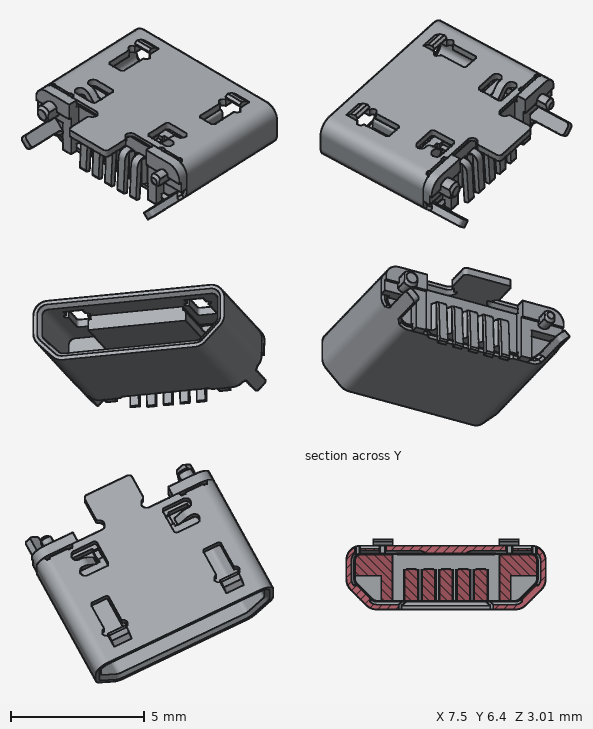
import cadquery as cq
import math


shell_width = 7.5
shell_height = 2.41
shell_length = 4.88
wall = 0.3
flank_angle = 45.0
corner_radius = 0.555
half_width = shell_width / 2
slant_top = 0.915
floor_half_width = half_width - slant_top / math.tan(math.radians(flank_angle))
cavity_top = shell_height - wall
edge_chamfer = 0.15

tail_half_width = 1.0
tail_end = -1.515
tail_end_radius = 0.15
relief_radius = 0.2
relief_blend = 0.105
selection_margin = 0.01
leg_low = 0.27
leg_high = 0.65
leg_root_flare = 0.15
leg_end_radius = 0.14

clearance_depth = 0.14
clearance_mouth_half = 1.815
clearance_end_half = 1.67
clearance_upper_mouth_half = 1.665
clearance_upper_end_half = 1.485

notch_depth = 0.14
notch_slope = 0.075
notch_inner = (2.235, 2.54)
notch_outer = (3.19, 3.45)
strip_depth = 0.1
strip_drop = 0.225

latch_x = 2.37
latch_width = 0.74
latch_slot_rear = 2.45
latch_slot_front = 4.29
latch_fold_y = 4.425
latch_slot_corner = 0.1
latch_relief_radius = 0.15
latch_relief_y = 3.75
latch_bend = (4.22, 2.565)
latch_peak = (4.01, 2.64)
latch_tip_top = (3.89, 2.55)
latch_tip_bottom = (3.96, 2.42)

window_inner = 1.39
window_outer = 2.505
window_rear = 0.285
window_front = 1.395
window_corner = 0.11
window_end_radius = 0.19
tab_rear = 0.68
tab_front = 1.005
tab_root = 2.295
tab_bend_end = 2.04
tab_tip = 1.71
tab_angle = 45.0

fit_gap = 0.03
block_front = 1.33
block_rear = 0.1
block_inset = wall + fit_gap
flange_inner = 2.01
foot_outer = 2.44
flange_bottom = 1.27
flange_step_z = 1.71
flange_rear = -0.405
foot_rear = -0.31
pocket_inner = 1.6
pocket_outer = 2.41
pocket_rear = 0.405
pocket_floor = 1.725
side_notch_rear = 0.49
side_notch_front = 0.89
side_notch_depth = 0.19

tongue_front = 3.825
tongue_half_width = 1.91
tongue_bottom = 1.46
tongue_top = 2.025
tongue_shoulder_z = 1.89
tongue_upper_half_width = 1.8

post_x = 2.93
post_z = flange_step_z
post_end = -0.93
post_tip_length = 0.11
large_post = {"radius": 0.34, "flat": 0.27}
small_post = {"radius": 0.255, "flat": 0.21}

contact_count = 5
contact_pitch = 0.65
contact_width = 0.33
contact_top = 1.53
contact_thickness = 0.21
contact_bend_rear = -0.315
contact_tip_rear = -0.4
contact_bend_radius = 0.315
contact_bottom = -0.37
contact_tip_chamfer = 0.11
contact_tip_rise = 0.04
last_contact_lift = 0.05
rib_rear = -0.08
rib_base_half = 0.28
rib_top = 1.51


def box(x0, x1, y0, y1, z0, z1):
    """Axis-aligned block between the given limits."""
    return cq.Workplane("XY").box(x1 - x0, y1 - y0, z1 - z0, centered=False).translate((x0, y0, z0))


def mirrored(body):
    """The body together with its mirror image across the centre plane."""
    return body.union(body.mirror("YZ"))


def section(inset, y):
    """Rounded outline of the shell at the given Y, moved inwards by the inset."""
    half = half_width - inset
    foot = floor_half_width - inset * math.tan(math.radians(flank_angle / 2))
    outline = [
        (-half, shell_height - inset),
        (half, shell_height - inset),
        (half, inset + half - foot),
        (foot, inset),
        (-foot, inset),
        (-half, inset + half - foot),
    ]
    blank = cq.Workplane("XZ", origin=(0, y, 0)).polyline(outline).close().extrude(0.075)
    return blank.edges("|Y").fillet(corner_radius - inset).faces(">Y").wires().val()


def prism(inset, y_front, y_rear):
    """Solid filling the shell outline between two Y positions."""
    path = cq.Vector(0, y_rear - y_front, 0)
    return cq.Workplane(cq.Solid.extrudeLinear(section(inset, y_front), [], path))


def edge_cutter(y, inward):
    """Frustum that chamfers the inside of the shell end at the given Y."""
    rims = [section(wall, y + inward * edge_chamfer), section(wall - edge_chamfer, y)]
    return cq.Workplane(cq.Solid.makeLoft(rims, True))


def tail_relief(side):
    """Round relief beside the tail root, with the inside chamfer of the rear edge carried around it."""
    centre = (side * tail_half_width, -relief_radius, cavity_top)
    hole = cq.Workplane("XY", origin=centre).circle(relief_radius).extrude(wall)
    cone = cq.Solid.makeCone(
        relief_radius + edge_chamfer, relief_radius, edge_chamfer, pnt=cq.Vector(*centre))
    front_half = box(-half_width, half_width, -relief_radius, edge_chamfer, cavity_top, shell_height)
    return hole.union(cq.Workplane(cone).intersect(front_half))


def tail():
    """Flat solder tail behind the roof, necked by a relief on each side of its root."""
    blank = box(-tail_half_width, tail_half_width, tail_end, edge_chamfer, cavity_top, shell_height)
    blank = blank.edges("|Z and <Y").fillet(tail_end_radius)
    for side in (-1, 1):
        blank = blank.cut(tail_relief(side))
    corner_y = -2 * relief_radius
    corners = cq.selectors.BoxSelector(
        (-half_width, corner_y - selection_margin, 0),
        (half_width, corner_y + selection_margin, shell_height))
    return blank.edges("|Z").edges(corners).fillet(relief_blend)


def leg():
    """Leg on the +X flank, in the plane of the sloped wall, widening at its chamfered root."""
    low = leg_low * math.sqrt(2)
    high = leg_high * math.sqrt(2)
    flank = cq.Plane(origin=(floor_half_width, 0, 0), xDir=(1, 0, 1), normal=(-1, 0, 1))
    root_width = wall - edge_chamfer

    def root_outline(y):
        return [
            (low - leg_root_flare, y),
            (low, y - leg_root_flare),
            (high, y - leg_root_flare),
            (high + leg_root_flare, y),
        ]

    bar = [(low, edge_chamfer), (low, tail_end), (high, tail_end), (high, edge_chamfer)]
    blade = cq.Workplane(flank).polyline(bar).close().extrude(wall)
    across = cq.selectors.ParallelDirSelector(cq.Vector(-1, 0, 1))
    blade = blade.faces("<Y").edges(across).fillet(leg_end_radius)
    root = cq.Workplane(flank).polyline(root_outline(0)).close().extrude(root_width)
    rim = (cq.Workplane(flank).workplane(offset=root_width).polyline(root_outline(0)).close()
           .workplane(offset=edge_chamfer).polyline(root_outline(edge_chamfer)).close().loft(ruled=True))
    return blade.union(root).union(rim)


def contact_clearance():
    """Shallow trapezoidal recess in the floor's rear edge, chamfered like the rest of the edge."""
    lower = [
        (-clearance_mouth_half, 0),
        (-clearance_end_half, clearance_depth),
        (clearance_end_half, clearance_depth),
        (clearance_mouth_half, 0),
    ]
    upper = [
        (-clearance_upper_mouth_half, edge_chamfer),
        (-clearance_upper_end_half, edge_chamfer + clearance_depth),
        (clearance_upper_end_half, edge_chamfer + clearance_depth),
        (clearance_upper_mouth_half, edge_chamfer),
    ]
    recess = cq.Workplane("XY").polyline(lower).close().extrude(wall - edge_chamfer)
    rim = (cq.Workplane("XY", origin=(0, 0, wall - edge_chamfer)).polyline(lower).close()
           .workplane(offset=edge_chamfer).polyline(upper).close().loft(ruled=True))
    return recess.union(rim)


def rear_notches():
    """Cutter on the +X side: two tapered notches and the sloped strip between them."""
    cutter = None
    for near, far in (notch_inner, notch_outer):
        outline = [(near, 0), (near + notch_slope, notch_depth), (far - notch_slope, notch_depth), (far, 0)]
        notch = (cq.Workplane("XY", origin=(0, 0, shell_height - 2 * wall))
                 .polyline(outline).close().extrude(2 * wall))
        cutter = notch if cutter is None else cutter.union(notch)
    strip = (cq.Workplane("YZ", origin=(notch_inner[1] - notch_slope, 0, 0))
             .polyline([(0, shell_height), (strip_depth, shell_height), (0, shell_height - strip_drop)])
             .close().extrude(notch_outer[0] - notch_inner[1] + 2 * notch_slope))
    return cutter.union(strip)


def latch_slot():
    """Slot under the +X latch tongue, with round reliefs beside the tongue's tip."""
    slot = box(latch_x - latch_width / 2, latch_x + latch_width / 2, latch_slot_rear, latch_fold_y,
               cavity_top, shell_height)
    slot = slot.edges("|Z and <Y").fillet(latch_slot_corner)
    for side in (-1, 1):
        relief = cq.Workplane("XY", origin=(latch_x + side * latch_width / 2, latch_relief_y, cavity_top))
        slot = slot.union(relief.circle(latch_relief_radius).extrude(wall))
    return slot


def latch_tongue():
    """Raised tongue of the +X latch, folded up from the roof."""
    profile = [
        (latch_fold_y, cavity_top),
        (latch_fold_y, shell_height),
        latch_bend,
        latch_peak,
        latch_tip_top,
        latch_tip_bottom,
        (latch_slot_front, cavity_top),
    ]
    start = cq.Workplane("YZ", origin=(latch_x - latch_width / 2, 0, 0))
    return start.polyline(profile).close().extrude(latch_width)


def window():
    """C-shaped opening around the +X retention tab."""
    opening = box(window_inner, tab_root, window_rear, window_front, cavity_top, shell_height)
    opening = opening.edges("|Z and <X").fillet(window_corner)
    for rear, front in ((window_rear, tab_rear), (tab_front, window_front)):
        arm = box(tab_bend_end, window_outer, rear, front, cavity_top, shell_height)
        opening = opening.union(arm.edges("|Z and >X").fillet(window_end_radius))
    return opening


def retention_tab():
    """+X tab that bends down from the outer side of its window towards the centre."""
    angle = math.radians(tab_angle)
    outer_bend = (tab_root - tab_bend_end) / math.sin(angle)
    inner_bend = outer_bend - wall
    centre_z = shell_height - outer_bend

    def on_bend(radius, turn):
        return (tab_root - radius * math.sin(turn), centre_z + radius * math.cos(turn))

    slope_length = (tab_bend_end - tab_tip) / math.cos(angle)
    top_end = on_bend(outer_bend, angle)
    bottom_end = on_bend(inner_bend, angle)
    run = slope_length * math.cos(angle)
    drop = slope_length * math.sin(angle)
    profile = (cq.Workplane("XZ", origin=(0, tab_front, 0))
               .moveTo(tab_root, cavity_top)
               .lineTo(tab_root, shell_height)
               .threePointArc(on_bend(outer_bend, angle / 2), top_end)
               .lineTo(top_end[0] - run, top_end[1] - drop)
               .lineTo(bottom_end[0] - run, bottom_end[1] - drop)
               .lineTo(*bottom_end)
               .threePointArc(on_bend(inner_bend, angle / 2), (tab_root, cavity_top))
               .close())
    return profile.extrude(tab_front - tab_rear)


def build_shell():
    tube = prism(0, shell_length, 0).cut(prism(wall, shell_length, 0))
    tube = tube.cut(edge_cutter(0, 1)).cut(edge_cutter(shell_length, -1)).cut(contact_clearance())
    tube = tube.cut(mirrored(rear_notches())).cut(mirrored(latch_slot())).cut(mirrored(window()))
    tube = tube.union(tail()).union(mirrored(leg()))
    return tube.union(mirrored(latch_tongue())).union(mirrored(retention_tab()))


def flange():
    """+X rear flange: a stepped plate level with the shell, with a foot down to the floor."""
    outline = prism(0, 0, flange_rear)
    upper = box(flange_inner, half_width, flange_rear, 0, flange_step_z, shell_height)
    lower = box(flange_inner, half_width, foot_rear, 0, flange_bottom, flange_step_z)
    foot = box(flange_inner, foot_outer, foot_rear, 0, 0, flange_bottom)
    plate = outline.intersect(upper.union(lower).union(foot))
    neck = prism(block_inset, block_rear, 0).intersect(
        box(flange_inner, half_width, 0, block_rear, flange_bottom, cavity_top)
        .union(box(flange_inner, foot_outer, 0, block_rear, wall, flange_bottom)))
    return plate.union(neck)


def tab_pocket():
    """Pocket in the block under the +X retention tab, with a shallow notch on its inner side."""
    pocket = box(pocket_inner, pocket_outer, pocket_rear, tab_front, pocket_floor, cavity_top)
    notch = box(window_inner, pocket_inner, side_notch_rear, side_notch_front,
                cavity_top - side_notch_depth, cavity_top)
    return pocket.union(notch)


def post(x, radius, flat):
    """Tapered locating post behind a flange, flattened on both sides."""
    pin = cq.Workplane("XZ", origin=(x, 0, post_z)).circle(radius).extrude(-post_end)
    pin = pin.faces("<Y").chamfer(post_tip_length)
    return pin.intersect(box(x - flat, x + flat, post_end, 0, 0, shell_height))


def tongue():
    """Tongue that carries the contacts towards the mating end, stepped along its upper sides."""
    lower = box(-tongue_half_width, tongue_half_width, block_front, tongue_front,
                tongue_bottom, tongue_shoulder_z)
    lower = lower.edges("|Y and >Z").fillet(tongue_half_width - tongue_upper_half_width)
    upper = box(-tongue_upper_half_width, tongue_upper_half_width, block_front, tongue_front,
                tongue_bottom, tongue_top)
    return lower.union(upper)


def contact_rib(x):
    """Tapered rib on the block's rear face that supports one contact."""
    outline = [
        (x - rib_base_half, block_rear),
        (x - contact_width / 2, rib_rear),
        (x + contact_width / 2, rib_rear),
        (x + rib_base_half, block_rear),
    ]
    base = cq.Workplane("XY", origin=(0, 0, block_inset))
    return base.polyline(outline).close().extrude(rib_top - block_inset)


def contact(x, lift):
    """Contact tail that leaves its rib, bends down and ends below the floor."""
    inner_radius = contact_bend_radius - contact_thickness
    centre_y = contact_bend_rear + contact_bend_radius
    centre_z = contact_top - contact_bend_radius
    bend_inner = contact_bend_rear + contact_thickness
    tip_inner = contact_tip_rear + contact_thickness
    bottom = contact_bottom + lift
    diagonal = math.sqrt(0.5)
    outer_reach = contact_bend_radius * diagonal
    inner_reach = inner_radius * diagonal
    profile = (cq.Workplane("YZ", origin=(x - contact_width / 2, 0, 0))
               .moveTo(block_rear, contact_top)
               .lineTo(centre_y, contact_top)
               .threePointArc((centre_y - outer_reach, centre_z + outer_reach), (contact_bend_rear, centre_z))
               .lineTo(contact_tip_rear, bottom + contact_tip_chamfer)
               .lineTo(contact_tip_rear + contact_tip_rise, bottom + contact_tip_rise)
               .lineTo(tip_inner - contact_tip_rise, bottom)
               .lineTo(tip_inner, bottom + contact_tip_rise)
               .lineTo(bend_inner, centre_z)
               .threePointArc((centre_y - inner_reach, centre_z + inner_reach),
                              (centre_y, centre_z + inner_radius))
               .lineTo(block_rear, centre_z + inner_radius)
               .close())
    return profile.extrude(contact_width)


def build_insulator():
    block = prism(block_inset, block_front, block_rear).union(tongue())
    block = block.cut(mirrored(tab_pocket())).union(mirrored(flange()))
    block = block.union(post(-post_x, **large_post)).union(post(post_x, **small_post))
    for index in range(contact_count):
        x = (index - (contact_count - 1) / 2) * contact_pitch
        lift = last_contact_lift if index == contact_count - 1 else 0
        block = block.union(contact_rib(x)).union(contact(x, lift))
    return block


shell = build_shell()
insulator = build_insulator()

result = cq.Compound.makeCompound([shell.val(), insulator.val()])